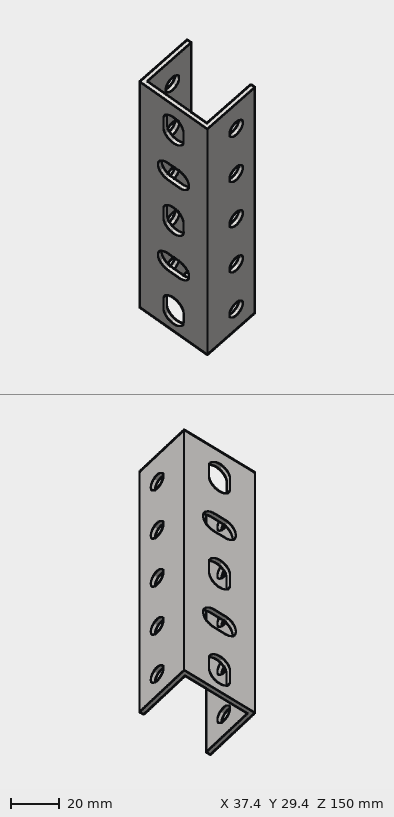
import cadquery as cq

length = 150.0
width = 37.4
depth = 29.4
wall = 2.2

pitch = 30.0
first_hole = 13.5
hole_count = 5
hole_heights = [first_hole + i * pitch for i in range(hole_count)]

slot_length = 17.1
slot_width = 11.1
flange_hole_diameter = 8.2
flange_hole_y = 17.8


def channel():
    """U-shaped profile with sharp corners, running along Z."""
    outer = cq.Workplane("XY").box(width, depth, length, centered=(True, False, False))
    inner = (
        cq.Workplane("XY")
        .box(width - 2 * wall, depth, length, centered=(True, False, False))
        .translate((0, wall, 0))
    )
    return outer.cut(inner)


def web_slot(height, angle):
    """Slot cutter through the web; an angle of 90 stands it along Z."""
    return (
        cq.Workplane("XZ")
        .center(0, height)
        .slot2D(slot_length, slot_width, angle)
        .extrude(-wall)
    )


def flange_holes(height):
    """Round cutter through both flanges."""
    return (
        cq.Workplane("YZ")
        .center(flange_hole_y, height)
        .circle(flange_hole_diameter / 2)
        .extrude(width / 2, both=True)
    )


result = channel()
for index, height in enumerate(hole_heights):
    slot_angle = 90 if index % 2 == 0 else 0
    result = result.cut(web_slot(height, slot_angle)).cut(flange_holes(height))